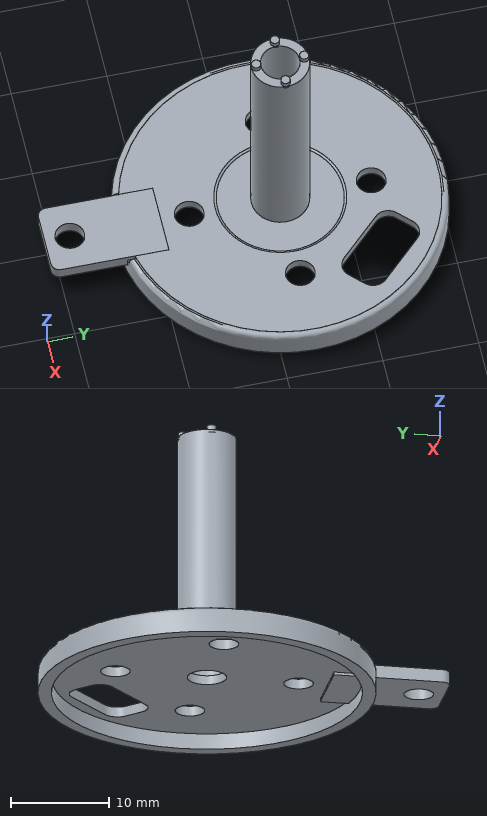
import cadquery as cq
import math


RIM_RADIUS = 17.25
RIM_BORE_RADIUS = 15.85
RIM_HEIGHT = 2.75
RIM_FILLET = 0.55
NOTCH_LEFT = -3.98
NOTCH_RIGHT = 4.2

PLATE_RADIUS = 16.5
PLATE_THICKNESS = 1.1
BOLT_HOLE_RADIUS = 1.5
BOLT_HOLE_COUNT = 4
BOLT_CIRCLE_RADIUS = 9.5

DISH_TOP_RADIUS = 6.8
DISH_FLOOR_RADIUS = 6.55
DISH_DEPTH = 0.13

WINDOW_LENGTH = 9.0
WINDOW_WIDTH = 5.0
WINDOW_CORNER_RADIUS = 1.5
WINDOW_CENTER = (8.3, 8.65)
WINDOW_ANGLE = -45

TUBE_RADIUS = 3.0
TUBE_BORE_RADIUS = 2.0
PIN_TOP = 25.45
PIN_PROTRUSION = 0.55
PIN_SINK = 0.25
PIN_SKIN = 0.02
PIN_COUNT = 4
TUBE_TOP = PIN_TOP - PIN_PROTRUSION
PIN_CIRCLE_RADIUS = (TUBE_RADIUS + TUBE_BORE_RADIUS) / 2
PIN_RADIUS = (TUBE_RADIUS - TUBE_BORE_RADIUS) / 2 - PIN_SKIN

TAB_WIDTH = 7.7
TAB_THICKNESS = 1.4
TAB_INNER_Y = -12.47
TAB_OUTER_Y = RIM_RADIUS - 41.85
TAB_CORNER_RADIUS = 0.9
TAB_HOLE_RADIUS = 1.5
TAB_HOLE_Y = -21.98


def cylinder(radius, bottom, top, center=(0, 0)):
    """Upright cylinder between two heights."""
    return cq.Workplane("XY", origin=(*center, bottom)).circle(radius).extrude(top - bottom)


def circle_points(radius, count):
    """Evenly spaced points on a circle, the first on +X."""
    angles = [2 * math.pi * i / count for i in range(count)]
    return [(radius * math.cos(a), radius * math.sin(a)) for a in angles]


def tab_blank():
    """Tab without its hole, also the shape of its recess in plate and rim."""
    return (
        cq.Workplane("XY")
        .center(0, (TAB_INNER_Y + TAB_OUTER_Y) / 2)
        .rect(TAB_WIDTH, TAB_INNER_Y - TAB_OUTER_Y)
        .extrude(-TAB_THICKNESS)
        .edges("|Z and <Y")
        .fillet(TAB_CORNER_RADIUS)
    )


def make_tab():
    hole = cylinder(TAB_HOLE_RADIUS, -TAB_THICKNESS, 0, (0, TAB_HOLE_Y))
    return tab_blank().cut(hole)


def make_rim():
    body = cylinder(RIM_RADIUS, -RIM_HEIGHT, 0).faces(">Z").edges().fillet(RIM_FILLET)
    bore = cylinder(RIM_BORE_RADIUS, -RIM_HEIGHT, 0)
    plate_seat = cylinder(PLATE_RADIUS, -PLATE_THICKNESS, 0)
    notch = (
        cq.Workplane("XY")
        .moveTo(NOTCH_LEFT, -RIM_RADIUS)
        .lineTo(NOTCH_RIGHT, -RIM_RADIUS)
        .lineTo(NOTCH_RIGHT, TAB_INNER_Y)
        .lineTo(NOTCH_LEFT, TAB_INNER_Y)
        .close()
        .extrude(-RIM_FILLET)
    )
    return body.cut(bore).cut(plate_seat).cut(notch).cut(tab_blank())


def make_dish():
    """Conical recess cutter."""
    return (
        cq.Workplane("XZ")
        .moveTo(0, 0)
        .lineTo(DISH_TOP_RADIUS, 0)
        .lineTo(DISH_FLOOR_RADIUS, -DISH_DEPTH)
        .lineTo(0, -DISH_DEPTH)
        .close()
        .revolve(360, (0, 0, 0), (0, 1, 0))
    )


def make_window():
    """Rounded rectangular cutter through the plate."""
    return (
        cq.Workplane("XY")
        .rect(WINDOW_LENGTH, WINDOW_WIDTH)
        .extrude(-PLATE_THICKNESS)
        .edges("|Z")
        .fillet(WINDOW_CORNER_RADIUS)
        .rotate((0, 0, 0), (0, 0, 1), WINDOW_ANGLE)
        .translate((*WINDOW_CENTER, 0))
    )


def make_plate():
    plate = cylinder(PLATE_RADIUS, -PLATE_THICKNESS, 0)
    plate = plate.cut(cylinder(TUBE_BORE_RADIUS, -PLATE_THICKNESS, 0))
    for point in circle_points(BOLT_CIRCLE_RADIUS, BOLT_HOLE_COUNT):
        plate = plate.cut(cylinder(BOLT_HOLE_RADIUS, -PLATE_THICKNESS, 0, point))
    return plate.cut(make_dish()).cut(make_window()).cut(tab_blank())


def make_pin(point):
    return cylinder(PIN_RADIUS, TUBE_TOP - PIN_SINK, PIN_TOP, point)


def make_tube(pins):
    """Tube standing on the dish floor, with a socket for each pin."""
    tube = cylinder(TUBE_RADIUS, -DISH_DEPTH, TUBE_TOP)
    tube = tube.cut(cylinder(TUBE_BORE_RADIUS, -DISH_DEPTH, TUBE_TOP))
    for pin in pins:
        tube = tube.cut(pin)
    return tube


rim = make_rim()
plate = make_plate()
tab = make_tab()
pins = [make_pin(point) for point in circle_points(PIN_CIRCLE_RADIUS, PIN_COUNT)]
tube = make_tube(pins)

result = cq.Compound.makeCompound(
    [rim.val(), plate.val(), tab.val(), tube.val(), *[pin.val() for pin in pins]]
)